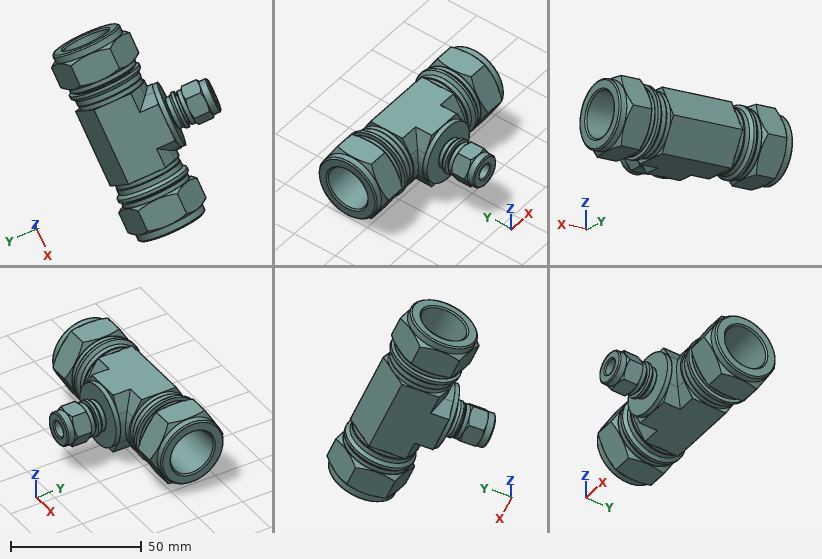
import cadquery as cq
import math

body_across_flats = 26.95
body_half_length = 16.0
branch_block_end = 16.0
run_bar_offset = 0.42
branch_disc_diameter = 26.5
branch_disc_end = 18.0

RUN_END = {
    "start": body_half_length,
    "neck_diameter": 26.5, "neck_end": 17.8,
    "shoulder_diameter": 26.9, "shoulder_start": 18.2, "shoulder_end": 20.25,
    "flange_diameter": 29.5, "flange_start": 21.5, "flange_end": 22.8,
    "groove_diameter": 25.4, "groove_end": 23.45,
    "collar_diameter": 27.8, "collar_chamfer": 0.35,
    "hex_across_flats": 28.575, "hex_start": 25.5, "hex_end": 36.85,
    "sleeve_diameter": 28.2, "sleeve_end": 40.07, "sleeve_chamfer": 0.6,
    "socket_diameter": 19.2, "socket_depth": 24.4, "socket_chamfer": 0.6,
}
BRANCH_END = {
    "start": branch_disc_end,
    "neck_diameter": 12.1, "neck_end": 18.2,
    "shoulder_diameter": 13.1, "shoulder_start": 18.4, "shoulder_end": 20.1,
    "flange_diameter": 15.0, "flange_start": 21.1, "flange_end": 22.3,
    "groove_diameter": 11.5, "groove_end": 23.25,
    "collar_diameter": 14.1, "collar_chamfer": 0.3,
    "hex_across_flats": 14.2, "hex_start": 25.2, "hex_end": 32.75,
    "sleeve_diameter": 14.0, "sleeve_end": 35.94, "sleeve_chamfer": 0.5,
    "socket_diameter": 6.55, "socket_depth": 15.2, "socket_chamfer": 0.5,
}
branch_bore_diameter = 4.83
nut_chamfer_angle = math.radians(30)
hexagon_half_angle = math.radians(30)


def across_corners(across_flats):
    return across_flats / math.cos(hexagon_half_angle)


def hexagon_with_rounded_corners(plane, across_flats, rounded_right, rounded_left):
    """Hexagon with horizontal flats; a chosen side corner becomes an arc tangent to its two flats."""
    apothem = across_flats / 2
    corner = across_corners(across_flats) / 2
    tangent_x = apothem * math.cos(hexagon_half_angle)
    tangent_y = apothem * math.sin(hexagon_half_angle)

    outline = cq.Workplane(plane).moveTo(corner / 2, apothem)
    for sign, rounded in ((1, rounded_right), (-1, rounded_left)):
        if rounded:
            outline = outline.lineTo(sign * tangent_x, sign * tangent_y)
            outline = outline.threePointArc((sign * apothem, 0), (sign * tangent_x, -sign * tangent_y))
        else:
            outline = outline.lineTo(sign * corner, 0)
        outline = outline.lineTo(sign * corner / 2, -sign * apothem)
        outline = outline.lineTo(-sign * corner / 2, -sign * apothem)
    return outline.wire()


def tee_body():
    """Run bar along X and branch bar along -Y, with a round disc on the branch end."""
    run_plane = cq.Plane(origin=(-body_half_length, -run_bar_offset, 0), xDir=(0, 1, 0), normal=(1, 0, 0))
    run_section = hexagon_with_rounded_corners(run_plane, body_across_flats, False, True)
    run_bar = run_section.extrude(2 * body_half_length)
    branch_plane = cq.Plane(origin=(0, 0, 0), xDir=(1, 0, 0), normal=(0, -1, 0))
    branch_section = hexagon_with_rounded_corners(branch_plane, body_across_flats, True, True)
    branch_bar = branch_section.extrude(branch_block_end)
    disc = cq.Workplane(branch_plane).circle(branch_disc_diameter / 2).extrude(branch_disc_end)
    return run_bar.union(branch_bar).union(disc)


def revolved(outline):
    """Solid of revolution about Z from (radius, height) points."""
    return cq.Workplane("XZ").polyline(outline).close().revolve(360, (0, 0, 0), (0, 1, 0))


def turned_steps(end):
    """Stepped round profile revolved about Z, from the tee body to the sleeve end face."""
    sleeve_radius = end["sleeve_diameter"] / 2
    collar_radius = end["collar_diameter"] / 2
    groove_radius = end["groove_diameter"] / 2
    flange_radius = end["flange_diameter"] / 2
    shoulder_radius = end["shoulder_diameter"] / 2
    neck_radius = end["neck_diameter"] / 2
    outline = [
        (0, end["start"]),
        (neck_radius, end["start"]),
        (neck_radius, end["neck_end"]),
        (shoulder_radius, end["shoulder_start"]),
        (shoulder_radius, end["shoulder_end"]),
        (flange_radius, end["flange_start"]),
        (flange_radius, end["flange_end"]),
        (groove_radius, end["flange_end"]),
        (groove_radius, end["groove_end"]),
        (collar_radius - end["collar_chamfer"], end["groove_end"]),
        (collar_radius, end["groove_end"] + end["collar_chamfer"]),
        (collar_radius, end["hex_start"]),
        (sleeve_radius, end["hex_end"]),
        (sleeve_radius, end["sleeve_end"] - end["sleeve_chamfer"]),
        (sleeve_radius - end["sleeve_chamfer"], end["sleeve_end"]),
        (0, end["sleeve_end"]),
    ]
    return revolved(outline)


def nut_hexagon(end):
    """Hexagon about Z with its corners turned down to a 30 degree chamfer at both ends."""
    corner_diameter = across_corners(end["hex_across_flats"])
    corner_radius = corner_diameter / 2
    face_radius = end["sleeve_diameter"] / 2
    chamfer_height = (corner_radius - face_radius) * math.tan(nut_chamfer_angle)
    height = end["hex_end"] - end["hex_start"]
    hexagon = cq.Workplane("XY", origin=(0, 0, end["hex_start"])).polygon(6, corner_diameter).extrude(height)
    envelope_outline = [
        (0, end["hex_start"]),
        (face_radius, end["hex_start"]),
        (corner_radius, end["hex_start"] + chamfer_height),
        (corner_radius, end["hex_end"] - chamfer_height),
        (face_radius, end["hex_end"]),
        (0, end["hex_end"]),
    ]
    return hexagon.intersect(revolved(envelope_outline))


def tube_socket(end):
    """Blind round socket along Z with a chamfered mouth at the sleeve end face."""
    radius = end["socket_diameter"] / 2
    chamfer = end["socket_chamfer"]
    mouth = end["sleeve_end"]
    floor = mouth - end["socket_depth"]
    outline = [
        (0, floor),
        (radius, floor),
        (radius, mouth - chamfer),
        (radius + chamfer, mouth),
        (0, mouth),
    ]
    return revolved(outline)


def towards_run_end(shape, sign):
    """Turn a shape built along +Z to point along +X or -X, with nut corners in the XY plane."""
    return shape.rotate((0, 0, 0), (0, 0, 1), 90).rotate((0, 0, 0), (0, 1, 0), sign * 90)


def towards_branch(shape):
    """Turn a shape built along +Z to point along -Y, with nut corners in the XY plane."""
    return shape.rotate((0, 0, 0), (1, 0, 0), 90)


def branch_bore():
    """Narrow bore along Z from the tee centre out through the branch socket."""
    return cq.Workplane("XY").circle(branch_bore_diameter / 2).extrude(BRANCH_END["sleeve_end"])


run_fitting = turned_steps(RUN_END).union(nut_hexagon(RUN_END))
branch_fitting = turned_steps(BRANCH_END).union(nut_hexagon(BRANCH_END))

result = tee_body()
for side_sign in (-1, 1):
    result = result.union(towards_run_end(run_fitting, side_sign))
result = result.union(towards_branch(branch_fitting))
for side_sign in (-1, 1):
    result = result.cut(towards_run_end(tube_socket(RUN_END), side_sign))
result = result.cut(towards_branch(tube_socket(BRANCH_END)))
result = result.cut(towards_branch(branch_bore()))